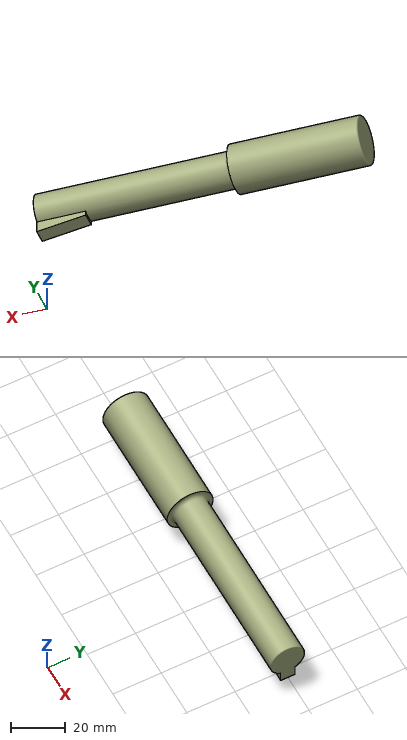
import cadquery as cq
import math

TOTAL_LENGTH = 127.0
SHANK_DIAMETER = 19.05
SHANK_LENGTH = 50.8
NECK_DIAMETER = 14.22

SHANK_END_FILLET = 0.762
SHOULDER_FILLET = 1.524
NECK_END_FILLET = 0.381

TOOTH_LENGTH = 19.05
TOOTH_WIDTH = 6.096
TOOTH_TIP_DEPTH = 10.925
TOOTH_RELIEF_ANGLE = 8.0

SHANK_RADIUS = SHANK_DIAMETER / 2
NECK_RADIUS = NECK_DIAMETER / 2
SHANK_START = -TOTAL_LENGTH / 2
NECK_END = SHANK_START + TOTAL_LENGTH
SHOULDER = SHANK_START + SHANK_LENGTH


def circle_edge(x, radius):
    """Selector for the circular edge of the given radius in the plane at x."""
    margin = 0.01
    return cq.selectors.BoxSelector(
        (x - margin, -radius - margin, -radius - margin),
        (x + margin, radius + margin, radius + margin),
        boundingbox=True,
    )


def make_bar():
    """Round shank and neck along X, with rounded ends and a filleted shoulder."""
    bar = (
        cq.Workplane("YZ", origin=(SHANK_START, 0, 0))
        .circle(SHANK_RADIUS)
        .extrude(SHANK_LENGTH)
        .faces(">X")
        .workplane()
        .circle(NECK_RADIUS)
        .extrude(TOTAL_LENGTH - SHANK_LENGTH)
    )
    bar = bar.edges(circle_edge(SHOULDER, NECK_RADIUS)).fillet(SHOULDER_FILLET)
    bar = bar.faces("<X").edges().fillet(SHANK_END_FILLET)
    return bar.faces(">X").edges().fillet(NECK_END_FILLET)


def make_tooth():
    """Tapered tooth, rooted at the bar axis and centred across Y."""
    tooth_start = NECK_END - TOOTH_LENGTH
    relief_rise = TOOTH_LENGTH * math.tan(math.radians(TOOTH_RELIEF_ANGLE))
    return (
        cq.Workplane("XZ")
        .moveTo(tooth_start, 0)
        .lineTo(tooth_start, relief_rise - TOOTH_TIP_DEPTH)
        .lineTo(NECK_END, -TOOTH_TIP_DEPTH)
        .lineTo(NECK_END, 0)
        .close()
        .extrude(TOOTH_WIDTH / 2, both=True)
    )


result = make_bar().union(make_tooth())